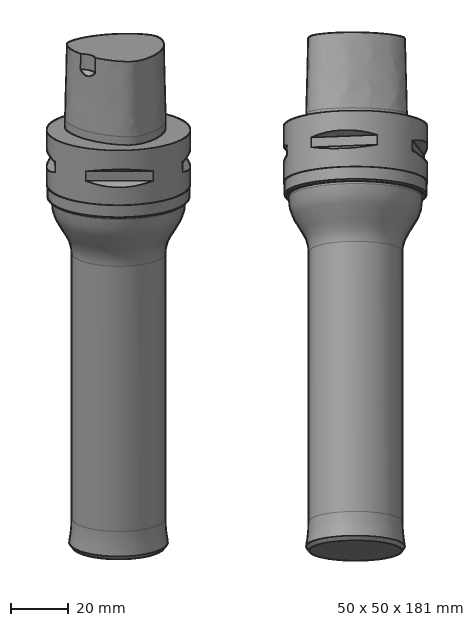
import cadquery as cq
import math

total_height = 181.0
flange_top = 151.0
flange_bottom = 131.0
rim_bottom = 126.2
neck_bottom = 125.5
bar_top = 106.5
flare_top = 10.3
flare_bottom = 1.5

flange_diameter = 50.0
shank_radius = 17.5
lobe_height = 1.5
shank_straight = 3.0
shank_taper = 1 / 40
outline_point_count = 48

keyway_radius = 5.5
keyway_depth = 1.5
keyway_height = 5.6

slot_count = 4
slot_first_angle = 45
slot_center_height = 140.8
slot_floor_distance = 22.0
slot_floor_height = 3.5
slot_mouth_height = 6.5

rim_diameter = 49.5
rim_chamfer = 0.5
neck_diameter = 46.5
bar_diameter = 32.8
shoulder_middle_radius = 19.2
shoulder_middle_height = 114.4
flare_end_radius = 17.2
end_chamfer = 1.0


def lobed_outline(mean_radius, height):
    """Closed three-lobed curve of constant width with one lobe toward +Y."""
    def point(turn):
        angle = 2 * math.pi * turn
        reach = mean_radius - lobe_height * math.sin(3 * angle)
        swing = -3 * lobe_height * math.cos(3 * angle)
        return (
            reach * math.cos(angle) - swing * math.sin(angle),
            reach * math.sin(angle) + swing * math.cos(angle),
        )

    points = [point(i / outline_point_count) for i in range(outline_point_count)]
    outline = cq.Workplane("XY", origin=(0, 0, height)).spline(points, periodic=True)
    return cq.Wire.assembleEdges([outline.val()])


def make_shank():
    taper_start = flange_top + shank_straight
    top_radius = shank_radius - shank_taper * (total_height - taper_start)
    bottom = lobed_outline(shank_radius, flange_top)
    middle = lobed_outline(shank_radius, taper_start)
    top = lobed_outline(top_radius, total_height)
    straight = cq.Solid.makeLoft([bottom, middle], True)
    taper = cq.Solid.makeLoft([middle, top], True)
    return cq.Workplane(straight).union(cq.Workplane(taper))


def make_keyway_cutter():
    top_radius = shank_radius - shank_taper * (total_height - flange_top - shank_straight)
    flat_side = -(top_radius - lobe_height)
    axis_y = flat_side + keyway_depth - keyway_radius
    rim = total_height - keyway_height
    return (
        cq.Workplane("XZ")
        .moveTo(0, rim - keyway_radius)
        .lineTo(keyway_radius, rim)
        .lineTo(keyway_radius, total_height)
        .lineTo(0, total_height)
        .close()
        .revolve(360, (0, 0), (0, 1))
        .translate((0, axis_y, 0))
    )


def make_slot_cutter(angle):
    """Tapered straight slot with its flat floor square to the given direction."""
    flange_radius = flange_diameter / 2
    half_floor = slot_floor_height / 2
    half_mouth = slot_mouth_height / 2
    return (
        cq.Workplane("XZ", origin=(0, 0, slot_center_height))
        .polyline([
            (slot_floor_distance, -half_floor),
            (flange_radius, -half_mouth),
            (flange_radius, half_mouth),
            (slot_floor_distance, half_floor),
        ])
        .close()
        .extrude(flange_radius, both=True)
        .rotate((0, 0, 0), (0, 0, 1), angle)
    )


def make_coupling():
    flange = (
        cq.Workplane("XY", origin=(0, 0, flange_bottom))
        .circle(flange_diameter / 2)
        .extrude(flange_top - flange_bottom)
    )
    body = flange.union(make_shank()).cut(make_keyway_cutter())
    for i in range(slot_count):
        body = body.cut(make_slot_cutter(slot_first_angle + i * 360 / slot_count))
    return body


def make_tool_body():
    rim_radius = rim_diameter / 2
    neck_radius = neck_diameter / 2
    bar_radius = bar_diameter / 2

    downward = (0, -1)
    profile = (
        cq.Workplane("XZ")
        .moveTo(0, flange_bottom)
        .lineTo(rim_radius, flange_bottom)
        .lineTo(rim_radius, rim_bottom + rim_chamfer)
        .lineTo(rim_radius - rim_chamfer, rim_bottom)
        .lineTo(neck_radius, rim_bottom)
        .lineTo(neck_radius, neck_bottom)
        .spline(
            [(shoulder_middle_radius, shoulder_middle_height), (bar_radius, bar_top)],
            tangents=[downward, downward],
            includeCurrent=True,
        )
        .lineTo(bar_radius, flare_top)
        .tangentArcPoint((flare_end_radius, flare_bottom), relative=False)
        .lineTo(flare_end_radius - end_chamfer, 0)
        .lineTo(0, 0)
        .close()
    )
    return profile.revolve(360, (0, 0), (0, 1))


coupling = make_coupling()
tool_body = make_tool_body()
result = cq.Compound.makeCompound([coupling.val(), tool_body.val()])